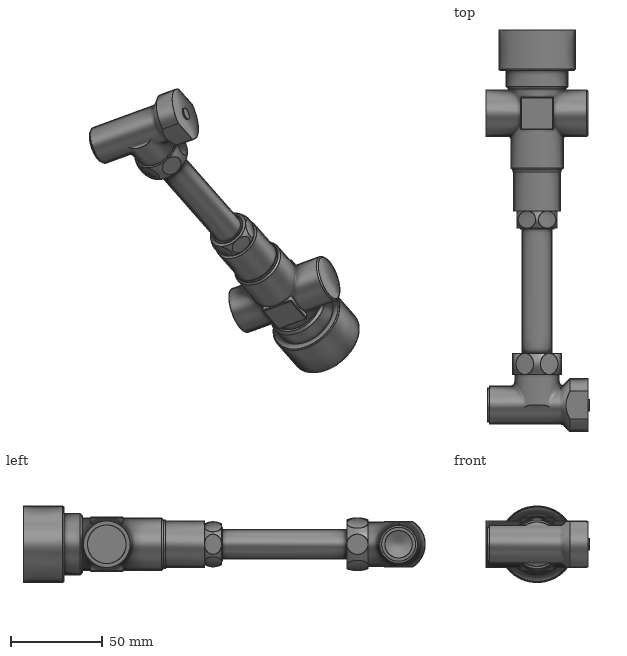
import cadquery as cq
import math

OVERALL_LENGTH = 220.5
CAP_END = 45.8

CAP_RADIUS = 21.0
CAP_LENGTH = 22.2
CAP_CHAMFER = 0.6
COLLAR_RADIUS = 17.0
COLLAR_END = 13.4
COLLAR_CHAMFER = 1.4
BODY_RADIUS = 14.4
BODY_END = -31.0
BODY_CHAMFER = 1.0
SHOULDER_RADIUS = 13.2
SHOULDER_END = -32.3
SLEEVE_RADIUS = 12.8
SLEEVE_END = -53.6

PORT_RADIUS = 12.8
PORT_REACH = 28.0
PORT_CHAMFER = 0.8
PORT_FILLET = 1.0
PORT_RECESS_RADIUS = 10.6
PORT_RECESS_DEPTH = 0.3
PAD_SIDE = 18.0
PAD_HEIGHT = 15.0
PAD_CORNER_RADIUS = 0.8
PAD_CHAMFER = 0.5

PIPE_RADIUS = 8.2
UPPER_NUT_LENGTH = 9.4
UPPER_NUT_APOTHEM = 11.1
UPPER_NUT_CROWN = 12.4
LOWER_NUT_START = -131.7
LOWER_NUT_LENGTH = 11.6
LOWER_NUT_APOTHEM = 13.4
LOWER_NUT_CROWN = 14.5
NUT_LIP_RADIUS = 9.2
NUT_LIP_LENGTH = 0.6

TEE_NECK_RADIUS = 12.2
TUBE_RADIUS = 10.4
TUBE_START = -26.0
NECK_INSERTION = 8.0
TEE_FILLET = 2.5
NECK_RAMP = 1.3
PLUG_RADIUS = 9.3
PLUG_START = -27.2
PLUG_DISH_RADIUS = 7.5
PLUG_DISH_WALL = 0.6
PLUG_CONE_DEPTH = 1.0
HEAD_RADIUS = 14.6
HEAD_START = 18.1
HEAD_END = 28.1
HEAD_HALF_THICKNESS = 12.4
FLARE_START = 12.7
FLARE_ARC_LENGTH = 2.0
BUTTON_RADIUS = 3.2
OVERALL_WIDTH = 56.81

TEE_Y = CAP_END - OVERALL_LENGTH + HEAD_RADIUS


def cylinder_y(radius, start, end):
    """Cylinder on the main axis between two Y stations, start below end."""
    base = cq.Workplane("XZ", origin=(0, start, 0))
    return base.circle(radius).extrude(start - end)


def cylinder_x(radius, start, end, y=0):
    """Cylinder parallel to X between two X stations."""
    return cq.Workplane("YZ", origin=(start, y, 0)).circle(radius).extrude(end - start)


def hex_nut(top, length, apothem, crown):
    """Hexagon along Y with flats on +X and -X, trimmed by a barrel so each flat is round."""
    bottom = top - length
    corner_diameter = 2 * apothem / math.cos(math.pi / 6)
    prism = (
        cq.Workplane("XZ", origin=(0, top, 0))
        .transformed(rotate=(0, 0, 30))
        .polygon(6, corner_diameter)
        .extrude(length)
    )
    barrel = (
        cq.Workplane("XY")
        .moveTo(0, top)
        .lineTo(apothem, top)
        .threePointArc((crown, (top + bottom) / 2), (apothem, bottom))
        .lineTo(0, bottom)
        .close()
        .revolve(360, (0, 0, 0), (0, 1, 0))
    )
    return prism.intersect(barrel)


def body():
    """Body with crossing side ports, blended where they meet."""
    barrel = cylinder_y(BODY_RADIUS, BODY_END, CAP_END - CAP_LENGTH)
    barrel = barrel.faces("<Y").chamfer(BODY_CHAMFER)
    ports = cylinder_x(PORT_RADIUS, -PORT_REACH, PORT_REACH)
    ports = ports.faces(">X").chamfer(PORT_CHAMFER)
    blended = barrel.union(ports).edges("%BSPLINE").fillet(PORT_FILLET)
    pads = (
        cq.Workplane("XY")
        .box(PAD_SIDE, PAD_SIDE, 2 * PAD_HEIGHT)
        .edges("|Z")
        .fillet(PAD_CORNER_RADIUS)
        .faces("<Z or >Z")
        .chamfer(PAD_CHAMFER)
    )
    recess = cylinder_x(PORT_RECESS_RADIUS, -PORT_REACH, PORT_RECESS_DEPTH - PORT_REACH)
    return blended.union(pads).cut(recess)


def upper_valve():
    """Cap, collar, body, shoulder and sleeve."""
    cap_bottom = CAP_END - CAP_LENGTH
    cap = cylinder_y(CAP_RADIUS, cap_bottom, CAP_END).faces("<Y").chamfer(CAP_CHAMFER)
    collar = cylinder_y(COLLAR_RADIUS, COLLAR_END, cap_bottom).faces("<Y").chamfer(COLLAR_CHAMFER)
    shoulder = cylinder_y(SHOULDER_RADIUS, SHOULDER_END, BODY_END)
    sleeve = cylinder_y(SLEEVE_RADIUS, SLEEVE_END, BODY_END)
    return body().union(cap).union(collar).union(shoulder).union(sleeve)


def pipe_and_nuts():
    """Pipe with the nut that clamps each end of it."""
    upper_bottom = SLEEVE_END - UPPER_NUT_LENGTH
    upper_nut = hex_nut(SLEEVE_END, UPPER_NUT_LENGTH, UPPER_NUT_APOTHEM, UPPER_NUT_CROWN)
    lower_nut = hex_nut(LOWER_NUT_START, LOWER_NUT_LENGTH, LOWER_NUT_APOTHEM, LOWER_NUT_CROWN)
    lip = cylinder_y(NUT_LIP_RADIUS, upper_bottom - NUT_LIP_LENGTH, upper_bottom)
    pipe = cylinder_y(PIPE_RADIUS, LOWER_NUT_START, upper_bottom)
    return upper_nut.union(lip).union(pipe).union(lower_nut)


def tee_head():
    """Flared round head with two flats, and a small button on its end face."""
    slope = math.radians(45)
    arc_radius = FLARE_ARC_LENGTH / math.sin(slope)
    arc_end = (FLARE_START + FLARE_ARC_LENGTH, TUBE_RADIUS + arc_radius * (1 - math.cos(slope)))
    profile = (
        cq.Workplane("XY", origin=(0, TEE_Y, 0))
        .moveTo(FLARE_START, 0)
        .lineTo(FLARE_START, TUBE_RADIUS)
        .threePointArc(
            (
                FLARE_START + arc_radius * math.sin(slope / 2),
                TUBE_RADIUS + arc_radius * (1 - math.cos(slope / 2)),
            ),
            arc_end,
        )
        .lineTo(HEAD_START, HEAD_RADIUS)
        .lineTo(HEAD_END, HEAD_RADIUS)
        .lineTo(HEAD_END, 0)
        .close()
    )
    head = profile.revolve(360, (0, 0, 0), (1, 0, 0))
    slab = cq.Workplane("XY", origin=(0, TEE_Y, 0)).box(
        4 * HEAD_END, 4 * HEAD_RADIUS, 2 * HEAD_HALF_THICKNESS
    )
    button = cylinder_x(BUTTON_RADIUS, HEAD_END, OVERALL_WIDTH - PORT_REACH, TEE_Y)
    return head.intersect(slab).union(button)


def neck_envelope():
    """Region kept for the neck: it stops at the tube axis, easing onto the tube by a hollow ramp."""
    far = 2 * TEE_NECK_RADIUS
    ramp_end = TEE_Y - NECK_RAMP
    ramp_foot = math.sqrt(TUBE_RADIUS**2 - NECK_RAMP**2)
    ramp_middle = (
        TEE_Y - NECK_RAMP * (1 - math.cos(math.pi / 4)),
        TEE_NECK_RADIUS - (TEE_NECK_RADIUS - ramp_foot) * math.sin(math.pi / 4),
    )
    half = (
        cq.Workplane("YZ", origin=(-far, 0, 0))
        .moveTo(ramp_end, 0)
        .lineTo(ramp_end, ramp_foot)
        .threePointArc(ramp_middle, (TEE_Y, TEE_NECK_RADIUS))
        .lineTo(TEE_Y, far)
        .lineTo(TEE_Y + far, far)
        .lineTo(TEE_Y + far, 0)
        .close()
        .extrude(2 * far)
    )
    return half.union(half.mirror("XY"))


def plug_dish():
    """Dish in the plug face: a short straight wall with a shallow cone below it."""
    floor = PLUG_START + PLUG_DISH_WALL
    return (
        cq.Workplane("XY", origin=(0, TEE_Y, 0))
        .moveTo(PLUG_START, 0)
        .lineTo(PLUG_START, PLUG_DISH_RADIUS)
        .lineTo(floor, PLUG_DISH_RADIUS)
        .lineTo(floor + PLUG_CONE_DEPTH, 0)
        .close()
        .revolve(360, (0, 0, 0), (1, 0, 0))
    )


def tee():
    """Cross tube joined to the neck, with its end plug and head."""
    neck_top = LOWER_NUT_START - LOWER_NUT_LENGTH + NECK_INSERTION
    tube = cylinder_x(TUBE_RADIUS, TUBE_START, HEAD_END, TEE_Y)
    crossing = cylinder_y(TEE_NECK_RADIUS, 2 * TEE_Y - neck_top, neck_top)
    blended = crossing.union(tube).edges("%BSPLINE").fillet(TEE_FILLET)
    neck = blended.intersect(neck_envelope())
    plug = cylinder_x(PLUG_RADIUS, PLUG_START, TUBE_START, TEE_Y)
    return neck.union(tube).union(tee_head()).union(plug).cut(plug_dish())


result = upper_valve().union(pipe_and_nuts()).union(tee())